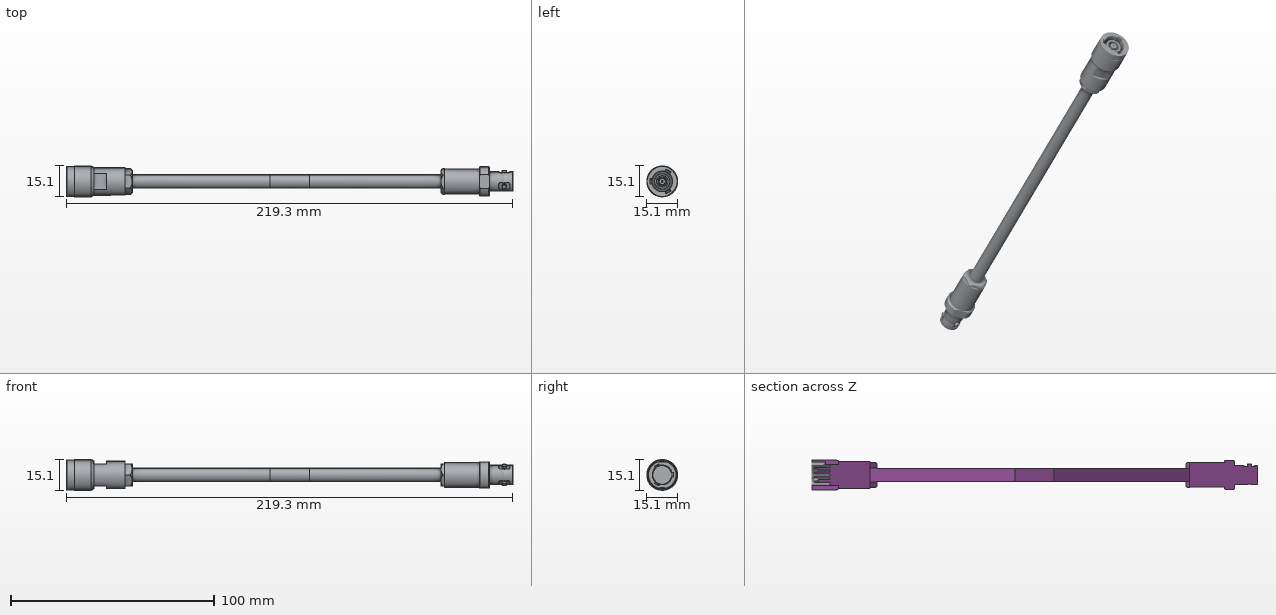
import cadquery as cq
import math

overall_length = 219.3

lip_end = 3.7
coupling_end = 13.4
wrench_flat_end = 19.5
plug_body_end = 28.7
plug_nut_end = 32.2
band_start = 100.0
jack_nut_start = 184.0
jack_body_start = 185.8
flange_start = 202.9
flange_end = 208.0
bayonet_station = 215.2

bayonet_angles = [0, 120, 240]
lug_diameter = 2.2
lug_tip_radius = 5.5
slot_clearance = 0.2

coupling_diameter = 15.1
lip_diameter = 15.0
coupling_taper_length = 1.3
coupling_bore_radius = 5.0
slot_outer_radius = 6.1
slot_length = 6.5

plug_body_diameter = 13.5
wrench_flat_height = 5.5
mouth_depth = 8.8
contact_front = 1.3
insulator_front = 3.3
socket_radius = 0.5
centre_contact_radius = 1.5
insulator_bore_radius = 2.2
insulator_radius = 2.9
outer_contact_radius = 3.7

cable_radius = 3.3
nut_across_flats = 11.0
nut_chamfer = 0.9

jack_body_radius = 6.1
flange_radius = 7.2
flange_flat_height = 6.4
flange_chamfer = 0.5
barrel_radius = 4.8
lug_seat_height = 4.4
lug_seat_radius = 2.9
groove_width = 2.9
groove_depth = 0.2


def rod(start, end, radius):
    """Solid cylinder about the X axis between two stations."""
    return cq.Workplane("YZ", origin=(start, 0, 0)).circle(radius).extrude(end - start)


def tube(start, end, inner_radius, outer_radius):
    """Hollow cylinder about the X axis between two stations."""
    return rod(start, end, outer_radius).cut(rod(start, end, inner_radius))


def radial_rod(station, inner, outer, radius):
    """Cylinder pointing along +Y from one distance off the axis to another."""
    plane = cq.Plane(origin=(station, inner, 0), xDir=(1, 0, 0), normal=(0, 1, 0))
    return cq.Workplane(plane).circle(radius).extrude(outer - inner)


def turned(shape, angle):
    """Copy of a shape turned about the X axis."""
    return shape.rotate((0, 0, 0), (1, 0, 0), angle)


def opposed_flats(start, end, height, outer_radius):
    """The two cutters that leave flats at +Z and -Z between two stations."""
    length = end - start
    cutter = (
        cq.Workplane("XY", origin=(start + length / 2, 0, height))
        .rect(length, 2 * outer_radius)
        .extrude(outer_radius)
    )
    return cutter.union(turned(cutter, 180))


def make_coupling_ring():
    """Outer ring of the plug, with a slightly smaller lip and three bayonet slots."""
    grip = rod(lip_end, coupling_end, coupling_diameter / 2)
    taper_drop = (coupling_diameter - plug_body_diameter) / 2
    grip = grip.faces(">X").chamfer(coupling_taper_length, taper_drop)
    ring = rod(0, lip_end, lip_diameter / 2).union(grip)
    ring = ring.cut(rod(0, coupling_end, coupling_bore_radius))

    slot_radius = lug_diameter / 2 + slot_clearance
    round_station = slot_length - slot_radius
    slot = (
        cq.Workplane("XY")
        .box(round_station, slot_outer_radius, 2 * slot_radius, centered=(False, False, True))
        .union(radial_rod(round_station, 0, slot_outer_radius, slot_radius))
    )
    for angle in bayonet_angles:
        ring = ring.cut(turned(slot, angle))
    return ring


def make_plug_body():
    """Body with two wrench flats, and the spigot and contacts inside the coupling ring."""
    body = rod(coupling_end, plug_body_end, plug_body_diameter / 2)
    body = body.cut(
        opposed_flats(coupling_end, wrench_flat_end, wrench_flat_height, plug_body_diameter / 2)
    )
    body = body.union(rod(mouth_depth, coupling_end, coupling_bore_radius))

    for front, inner_radius, outer_radius in (
        (contact_front, insulator_radius, outer_contact_radius),
        (insulator_front, insulator_bore_radius, insulator_radius),
        (contact_front, socket_radius, centre_contact_radius),
    ):
        body = body.union(tube(front, mouth_depth, inner_radius, outer_radius))
    return body


def make_clamp_nut(start, end, chamfer_at):
    """Hexagonal nut around the cable with corners at +Y and -Y, rounded off on one end face."""
    corner_diameter = nut_across_flats / math.cos(math.pi / 6)
    nut = cq.Workplane("YZ", origin=(start, 0, 0)).polygon(6, corner_diameter).extrude(end - start)
    blank = rod(start, end, corner_diameter / 2).faces(chamfer_at).chamfer(nut_chamfer)
    return nut.intersect(blank).cut(rod(start, end, cable_radius))


def make_cable_section(start, end):
    """Plain round length of cable."""
    return rod(start, end, cable_radius)


def make_jack_body():
    """Body with a flatted flange and a barrel that carries the bayonet lugs."""
    body = rod(jack_body_start, flange_start, jack_body_radius)
    flange = rod(flange_start, flange_end, flange_radius).faces("<X or >X").chamfer(flange_chamfer)
    flange = flange.cut(opposed_flats(flange_start, flange_end, flange_flat_height, flange_radius))

    barrel = rod(flange_end, overall_length, barrel_radius)
    groove = (
        cq.Workplane("XY")
        .moveTo(bayonet_station - groove_width / 2, barrel_radius)
        .lineTo(bayonet_station, barrel_radius - groove_depth)
        .lineTo(bayonet_station + groove_width / 2, barrel_radius)
        .close()
        .revolve(360, (0, 0, 0), (1, 0, 0))
    )
    barrel = barrel.cut(groove)

    seat = radial_rod(bayonet_station, lug_seat_height, lug_tip_radius, lug_seat_radius)
    lug = radial_rod(bayonet_station, 0, lug_tip_radius, lug_diameter / 2)
    for angle in bayonet_angles:
        barrel = barrel.cut(turned(seat, angle))
        barrel = barrel.union(turned(lug, angle))
    return body.union(flange).union(barrel)


coupling_ring = make_coupling_ring()
plug_body = make_plug_body()
plug_nut = make_clamp_nut(plug_body_end, plug_nut_end, ">X")
jack_nut = make_clamp_nut(jack_nut_start, jack_body_start, "<X")
jack_body = make_jack_body()

cable_stations = [plug_body_end, band_start, overall_length - band_start, jack_body_start]
cable_sections = [
    make_cable_section(start, end) for start, end in zip(cable_stations, cable_stations[1:])
]

result = cq.Compound.makeCompound(
    [coupling_ring.val(), plug_body.val(), plug_nut.val()]
    + [section.val() for section in cable_sections]
    + [jack_nut.val(), jack_body.val()]
)